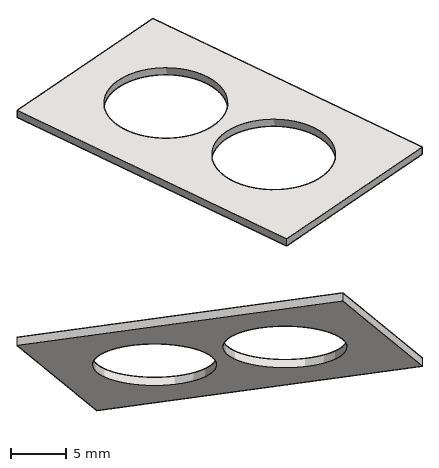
import cadquery as cq

plate_length = 31.75
plate_width = 19.05
plate_thickness = 0.8

hole_diameter = 11.18
hole_spacing = 12.7
hole_centers = [(-hole_spacing / 2, 0), (hole_spacing / 2, 0)]

plate = cq.Workplane("XY").box(plate_length, plate_width, plate_thickness)

result = (
    plate.faces(">Z")
    .workplane()
    .pushPoints(hole_centers)
    .hole(hole_diameter)
)